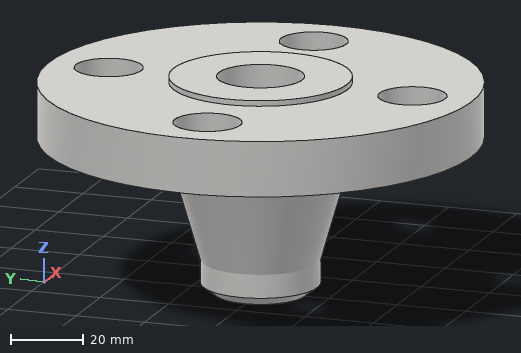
import cadquery as cq
import math

flange_diameter = 123.83
flange_thickness = 15.88
face_diameter = 50.8
face_height = 1.59
overall_height = 61.91

bolt_circle_diameter = 88.9
bolt_hole_diameter = 19.05
bolt_hole_count = 4

bore_diameter = 24.3
neck_diameter = 33.4
neck_length = 9.5
hub_base_diameter = 53.9
hub_fillet_radius = 8.0
bevel_angle = 37.5
weld_land = 0.85

tolerance = 0.001

flange_front_z = overall_height - face_height
flange_back_z = flange_front_z - flange_thickness
neck_radius = neck_diameter / 2
land_radius = bore_diameter / 2 + weld_land
bevel_height = (neck_radius - land_radius) * math.tan(math.radians(bevel_angle))


def revolved_body():
    """Flange, raised face, tapered hub and bevelled pipe end as one turned solid."""
    half_section = [
        (0, 0),
        (land_radius, 0),
        (neck_radius, bevel_height),
        (neck_radius, neck_length),
        (hub_base_diameter / 2, flange_back_z),
        (flange_diameter / 2, flange_back_z),
        (flange_diameter / 2, flange_front_z),
        (face_diameter / 2, flange_front_z),
        (face_diameter / 2, overall_height),
        (0, overall_height),
    ]
    return cq.Workplane("XZ").polyline(half_section).close().revolve(360, (0, 0, 0), (0, 1, 0))


def is_hub_corner(circle):
    """Tell whether a circular edge is the one where the hub meets the flange."""
    at_flange_back = math.isclose(circle.Center().z, flange_back_z, abs_tol=tolerance)
    return at_flange_back and math.isclose(circle.radius(), hub_base_diameter / 2, abs_tol=tolerance)


def fillet_hub(body):
    """Round the inside corner where the hub meets the back of the flange."""
    corner_circle = body.edges("%CIRCLE").filter(is_hub_corner)
    return corner_circle.fillet(hub_fillet_radius)


def bore_cutter():
    """Pipe bore through the full height."""
    return cq.Workplane("XY").circle(bore_diameter / 2).extrude(overall_height)


def bolt_hole_cutters():
    """Bolt holes through the flange, the first one on the +X axis."""
    return (
        cq.Workplane("XY", origin=(0, 0, flange_back_z))
        .polarArray(bolt_circle_diameter / 2, 0, 360, bolt_hole_count)
        .circle(bolt_hole_diameter / 2)
        .extrude(flange_thickness)
    )


result = fillet_hub(revolved_body()).cut(bore_cutter()).cut(bolt_hole_cutters())